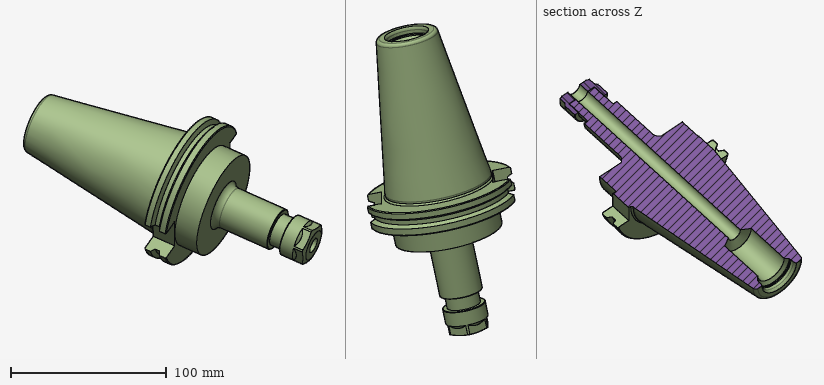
import cadquery as cq
import math

LENGTH = 203.2
TAPER_END_X = 102.5
NECK_END_X = 103.6
FLANGE_X = 104.9
FLANGE_WIDTH = 15.9
HUB_END_X = 136.8
SHANK_END_X = 177.0
NUT_X = 185.7
HEX_X = 195.5

GAUGE_DIAMETER = 70.0
TAPER_RATIO = 7 / 24
TAPER_EDGE_RADIUS = 2.5
NECK_FLARE_DIAMETER = 72.0

FLANGE_DIAMETER = 97.3
FLANGE_CHAMFER = 0.6
GROOVE_DIAMETER = 91.2
GROOVE_FLOOR_WIDTH = 3.0
GROOVE_CENTRE = 7.7
GROOVE_HALF_ANGLE = math.radians(30)
SLOT_WIDTH = 25.6
SLOT_FLOOR_BACK = 37.5
SLOT_FLOOR_FRONT = 35.4

HUB_DIAMETER = 70.1
SHANK_DIAMETER = 28.0
SHANK_FILLET_LENGTH = 5.0
SHANK_FILLET_RADIUS = 5.9
RIM_CHAMFER = 0.5
SPIGOT_DIAMETER = 22.0

BORE_DIAMETER = 10.0
MOUTH_DIAMETER = 29.0
PILOT_DIAMETER = 27.5
PILOT_X = 2.2
PILOT_END_X = 4.5
SEAT_DIAMETER = 26.6
SEAT_X = 5.0
SEAT_END_X = 5.9
THREAD_DIAMETER = 22.2
THREAD_X = 8.1
THREAD_END_X = 40.6
DRILL_HALF_ANGLE = math.radians(59)

NUT_DIAMETER = SHANK_DIAMETER
HEX_ACROSS_FLATS = 25.0
HEX_SHOULDER_LENGTH = 2.0
NUT_FACE_DIAMETER = 20.5
NUT_FACE_CHAMFER_ANGLE = math.radians(20)


def revolve_about_x(profile):
    return profile.close().revolve(360, (0, 0, 0), (1, 0, 0))


def cylinder(diameter, start, end):
    return cq.Workplane("YZ").workplane(offset=start).circle(diameter / 2).extrude(end - start)


def make_taper():
    end_diameter = GAUGE_DIAMETER - TAPER_RATIO * TAPER_END_X
    taper = revolve_about_x(
        cq.Workplane("XY")
        .lineTo(0, end_diameter / 2)
        .lineTo(TAPER_END_X, GAUGE_DIAMETER / 2)
        .lineTo(NECK_END_X, GAUGE_DIAMETER / 2)
        .lineTo(FLANGE_X, NECK_FLARE_DIAMETER / 2)
        .lineTo(FLANGE_X, 0)
    )
    return taper.faces("<X").edges().fillet(TAPER_EDGE_RADIUS)


def make_flange():
    flange = cylinder(FLANGE_DIAMETER, FLANGE_X, FLANGE_X + FLANGE_WIDTH)
    flange = flange.edges().chamfer(FLANGE_CHAMFER)
    return flange.cut(make_flange_groove()).cut(make_flange_slots())


def make_flange_groove():
    centre = FLANGE_X + GROOVE_CENTRE
    depth = (FLANGE_DIAMETER - GROOVE_DIAMETER) / 2
    floor_half = GROOVE_FLOOR_WIDTH / 2
    mouth_half = floor_half + depth * math.tan(GROOVE_HALF_ANGLE)
    return revolve_about_x(
        cq.Workplane("XY")
        .moveTo(centre - floor_half, GROOVE_DIAMETER / 2)
        .lineTo(centre - mouth_half, FLANGE_DIAMETER / 2)
        .lineTo(centre + mouth_half, FLANGE_DIAMETER / 2)
        .lineTo(centre + floor_half, GROOVE_DIAMETER / 2)
    )


def make_flange_slots():
    slots = cq.Workplane("XY")
    depth = FLANGE_DIAMETER / 2
    for side, floor in ((1, SLOT_FLOOR_BACK), (-1, -SLOT_FLOOR_FRONT)):
        slot = cq.Workplane("XY").box(FLANGE_WIDTH, depth, SLOT_WIDTH, centered=(False, True, True))
        slots = slots.add(slot.translate((FLANGE_X, floor + side * depth / 2, 0)))
    return slots.combine()


def make_shank():
    radius = SHANK_DIAMETER / 2
    fillet_end = HUB_END_X + SHANK_FILLET_LENGTH
    drop = SHANK_FILLET_RADIUS - math.sqrt(SHANK_FILLET_RADIUS**2 - SHANK_FILLET_LENGTH**2)
    shank = revolve_about_x(
        cq.Workplane("XY")
        .moveTo(HUB_END_X, 0)
        .lineTo(HUB_END_X, radius + drop)
        .radiusArc((fillet_end, radius), -SHANK_FILLET_RADIUS)
        .lineTo(SHANK_END_X, radius)
        .lineTo(SHANK_END_X, 0)
    )
    return shank.faces(">X").edges().chamfer(RIM_CHAMFER)


def make_taper_bore():
    flare = (MOUTH_DIAMETER - PILOT_DIAMETER) / 2
    flare_radius = (PILOT_X**2 + flare**2) / (2 * flare)
    step = (THREAD_DIAMETER - BORE_DIAMETER) / 2
    cone_length = step / math.tan(DRILL_HALF_ANGLE)
    return revolve_about_x(
        cq.Workplane("XY")
        .lineTo(0, MOUTH_DIAMETER / 2)
        .radiusArc((PILOT_X, PILOT_DIAMETER / 2), -flare_radius)
        .lineTo(PILOT_END_X, PILOT_DIAMETER / 2)
        .lineTo(SEAT_X, SEAT_DIAMETER / 2)
        .lineTo(SEAT_END_X, SEAT_DIAMETER / 2)
        .lineTo(THREAD_X, THREAD_DIAMETER / 2)
        .lineTo(THREAD_END_X, THREAD_DIAMETER / 2)
        .lineTo(THREAD_END_X + cone_length, BORE_DIAMETER / 2)
        .lineTo(LENGTH, BORE_DIAMETER / 2)
        .lineTo(LENGTH, 0)
    )


def make_holder():
    hub = cylinder(HUB_DIAMETER, FLANGE_X + FLANGE_WIDTH, HUB_END_X)
    spigot = cylinder(SPIGOT_DIAMETER, SHANK_END_X, HEX_X)
    holder = make_taper().union(make_flange()).union(hub).union(make_shank()).union(spigot)
    return holder.cut(make_taper_bore())


def make_nut():
    body = cylinder(NUT_DIAMETER, NUT_X, LENGTH)
    body = body.faces("<X").edges().chamfer(RIM_CHAMFER)
    body = body.cut(make_face_chamfer_cutter())
    body = body.cut(make_hex_cutter())
    body = body.cut(cylinder(SPIGOT_DIAMETER, NUT_X, HEX_X))
    return body.cut(cylinder(BORE_DIAMETER, HEX_X, LENGTH))


def make_face_chamfer_cutter():
    chamfer_width = (NUT_DIAMETER - NUT_FACE_DIAMETER) / 2
    chamfer_length = chamfer_width * math.tan(NUT_FACE_CHAMFER_ANGLE)
    return revolve_about_x(
        cq.Workplane("XY")
        .moveTo(LENGTH, NUT_FACE_DIAMETER / 2)
        .lineTo(LENGTH - chamfer_length, NUT_DIAMETER / 2)
        .lineTo(LENGTH, NUT_DIAMETER / 2)
    )


def make_hex_cutter():
    """Ring outside the hexagon, with its inner end sloping out to the nut's rim."""
    ring = revolve_about_x(
        cq.Workplane("XY")
        .moveTo(HEX_X, NUT_DIAMETER / 2)
        .lineTo(HEX_X + HEX_SHOULDER_LENGTH, HEX_ACROSS_FLATS / 2)
        .lineTo(LENGTH, HEX_ACROSS_FLATS / 2)
        .lineTo(LENGTH, NUT_DIAMETER / 2)
    )
    across_corners = HEX_ACROSS_FLATS / math.cos(math.pi / 6)
    hexagon = (
        cq.Workplane("YZ")
        .workplane(offset=HEX_X)
        .transformed(rotate=(0, 0, 30))
        .polygon(6, across_corners)
        .extrude(LENGTH - HEX_X)
    )
    return ring.cut(hexagon)


holder = make_holder()
nut = make_nut()

result = cq.Compound.makeCompound([holder.solids().val(), nut.solids().val()])